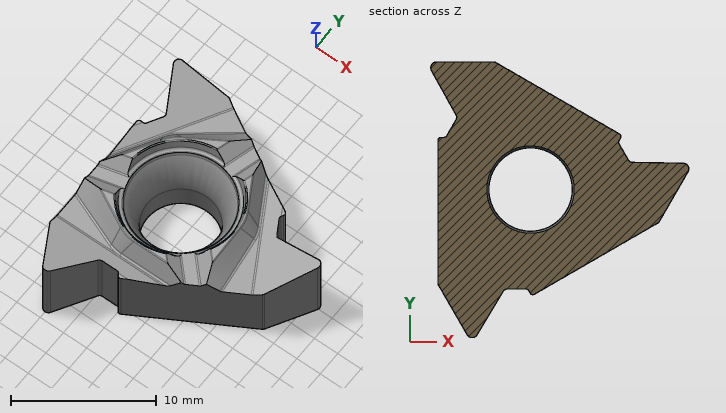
import math

import cadquery as cq

LOBE_ANGLES = (0, 120, 240)
Z_AXIS = ((0, 0, 0), (0, 0, 1))
THICKNESS = 5.84
INSCRIBED_RADIUS = 6.35
RIM_RADIUS = 0.1
MATCH_TOLERANCE = 0.01
OVERSIZE = 15.0

LEFT_FLANK_ANGLE = math.radians(30)
RIGHT_FLANK_ANGLE = math.radians(31)
TIP_X = -4.0
TIP_CENTER_Y = -9.753
TIP_RADIUS = 0.4
FLANK_CORNER_RADIUS = 0.3

RELIEF_Y = -6.82
RELIEF_RADIUS = 0.3
NUB_DISTANCE = 3.58
NUB_NORMAL = math.radians(210)
NUB_INNER_RADIUS = 0.2
NUB_OUTER_RADIUS = 0.22
NUB_CAP_Y = -6.94
NUB_CAP_WIDTH = 2.0

FLOOR_Z = 4.6
RAKE_START_Y = -5.7
RAKE_ANGLE = math.radians(15)
RAKE_BLEND_RADIUS = 0.5
FOOT_Y = -5.52
FOOT_BEND_X = -1.52
FOOT_ANGLE = math.radians(22)
FOOT_BEND_RADIUS = 2.5
FOOT_BLEND_RADIUS = 0.2
CREST_Y = -4.69
CREST_BEND_X = -1.23
CREST_ANGLE = math.radians(28)
CREST_BEND_RADIUS = 3.0
WALL_LEFT_X = -8.0
WALL_RIGHT_X = 5.0
WALL_BACK_Y = 2.0

SLOT_ANGLE = 194
SLOT_FLOOR_Z = 5.08
SLOT_FLOOR_WIDTH = 1.05
SLOT_WALL_ANGLE = math.radians(37)
SLOT_BLEND_RADIUS = 0.2
SLOT_START_RADIUS = 2.0

HOLE_RADIUS = 5.7 / 2
SEAT_START_Z = 2.0
SEAT_CURVE_RADIUS = 4.43
SEAT_OUTER_RADIUS = 3.98
SEAT_BLEND_RADIUS = 0.33
LEDGE_Z = 5.08
LEDGE_OUTER_RADIUS = 4.25
RECESS_TOP_RADIUS = 4.5
LEDGE_BLEND_RADIUS = 0.25


def rotated(point, degrees):
    angle = math.radians(degrees)
    x, y = point
    return (
        x * math.cos(angle) - y * math.sin(angle),
        x * math.sin(angle) + y * math.cos(angle),
    )


def around_axis(shape):
    """Copies of the shape at every lobe angle."""
    copies = cq.Workplane()
    for angle in LOBE_ANGLES:
        copies = copies.add(shape.rotate(*Z_AXIS, angle).vals())
    return copies


def lobe_corners():
    """Sharp corners of one lobe, counterclockwise, each with its rounding radius."""
    left = LEFT_FLANK_ANGLE
    right = RIGHT_FLANK_ANGLE
    apex_drop = TIP_RADIUS * (math.cos(left) + math.cos(right)) / math.sin(left + right)
    apex_x = TIP_X + (TIP_RADIUS - apex_drop * math.sin(right)) / math.cos(right)
    apex_y = TIP_CENTER_Y - apex_drop
    flank_y = apex_y + (apex_x + INSCRIBED_RADIUS) / math.tan(left)
    root_x = apex_x + (RELIEF_Y - apex_y) * math.tan(right)
    normal_x = math.cos(NUB_NORMAL)
    normal_y = math.sin(NUB_NORMAL)
    nub_inner_x = (NUB_DISTANCE - normal_y * RELIEF_Y) / normal_x
    nub_corner = rotated((-INSCRIBED_RADIUS, NUB_DISTANCE), LOBE_ANGLES[1])
    return [
        ((-INSCRIBED_RADIUS, flank_y), FLANK_CORNER_RADIUS),
        ((apex_x, apex_y), TIP_RADIUS),
        ((root_x, RELIEF_Y), RELIEF_RADIUS),
        ((nub_inner_x, RELIEF_Y), NUB_INNER_RADIUS),
        (nub_corner, NUB_OUTER_RADIUS),
    ]


def make_blank():
    corners = []
    for angle in LOBE_ANGLES:
        for point, radius in lobe_corners():
            corners.append((rotated(point, angle), radius))
    outline = [point for point, _ in corners]
    blank = cq.Workplane("XY").polyline(outline).close().extrude(THICKNESS)
    for (x, y), radius in corners:
        nearest = cq.selectors.NearestToPointSelector((x, y, THICKNESS / 2))
        blank = blank.edges("|Z").edges(nearest).fillet(radius)
    return blank


def wall_outline(z, straight_y, bend_x, angle, bend_radius):
    """Closed wire of the back wall at height z: sloping run, bend, straight run."""
    tangent = bend_radius * math.tan(angle / 2)
    left_y = straight_y + (bend_x - WALL_LEFT_X) * math.tan(angle)
    arc_start = (bend_x - tangent * math.cos(angle), straight_y + tangent * math.sin(angle))
    arc_end = (bend_x + tangent, straight_y)
    arc_middle = (
        arc_end[0] - bend_radius * math.sin(angle / 2),
        straight_y + bend_radius * (1 - math.cos(angle / 2)),
    )
    return (
        cq.Workplane("XY", origin=(0, 0, z))
        .moveTo(WALL_LEFT_X, left_y)
        .lineTo(*arc_start)
        .threePointArc(arc_middle, arc_end)
        .lineTo(WALL_RIGHT_X, straight_y)
        .lineTo(WALL_RIGHT_X, WALL_BACK_Y)
        .lineTo(WALL_LEFT_X, WALL_BACK_Y)
        .close()
        .val()
    )


def make_groove_cutter():
    """Space removed above the floor and rake face, in front of the back wall."""
    foot = wall_outline(FLOOR_Z, FOOT_Y, FOOT_BEND_X, FOOT_ANGLE, FOOT_BEND_RADIUS)
    crest = wall_outline(THICKNESS, CREST_Y, CREST_BEND_X, CREST_ANGLE, CREST_BEND_RADIUS)
    wall = cq.Workplane(cq.Solid.makeLoft([foot, crest], True))

    rake_rise = (OVERSIZE + RAKE_START_Y) * math.tan(RAKE_ANGLE)
    rake_top = FLOOR_Z + rake_rise
    groove = (
        cq.Workplane("YZ", origin=(WALL_LEFT_X, 0, 0))
        .moveTo(WALL_BACK_Y, FLOOR_Z)
        .lineTo(RAKE_START_Y, FLOOR_Z)
        .lineTo(-OVERSIZE, rake_top)
        .lineTo(WALL_BACK_Y, rake_top)
        .close()
        .extrude(WALL_RIGHT_X - WALL_LEFT_X)
    )
    groove = groove.cut(wall)
    middle_x = (WALL_LEFT_X + WALL_RIGHT_X) / 2
    rake_start = cq.selectors.NearestToPointSelector((middle_x, RAKE_START_Y, FLOOR_Z))
    groove = groove.edges("|X").edges(rake_start).fillet(RAKE_BLEND_RADIUS)
    foot_edges = groove.faces("<Z").edges("not (<X or <Y)")
    return foot_edges.fillet(FOOT_BLEND_RADIUS)


def make_nub_cap_cutter():
    """Levels the nub at the height the rake face has at the cap line."""
    nub_x, nub_y = lobe_corners()[-1][0]
    cap_z = FLOOR_Z + (RAKE_START_Y - NUB_CAP_Y) * math.tan(RAKE_ANGLE)
    return (
        cq.Workplane("XY", origin=(nub_x, NUB_CAP_Y, cap_z))
        .rect(NUB_CAP_WIDTH, nub_y - NUB_CAP_Y, centered=(True, False))
        .extrude(THICKNESS)
    )


def make_slot_cutter():
    """Trapezoidal tool twice as tall as the slot, so that it clears the top face."""
    half_floor = SLOT_FLOOR_WIDTH / 2
    rise = 2 * (THICKNESS - SLOT_FLOOR_Z)
    half_top = half_floor + rise / math.tan(SLOT_WALL_ANGLE)
    slot = (
        cq.Workplane("YZ", origin=(SLOT_START_RADIUS, 0, SLOT_FLOOR_Z))
        .polyline([(-half_floor, 0), (half_floor, 0), (half_top, rise), (-half_top, rise)])
        .close()
        .extrude(OVERSIZE)
        .faces("<Z")
        .edges("|X")
        .fillet(SLOT_BLEND_RADIUS)
    )
    return slot.rotate(*Z_AXIS, SLOT_ANGLE)


def fillet_circle(body, circle_radius, z, fillet_radius):
    """Rounds the circular edge that has the given radius and height."""
    for edge in body.edges("%CIRCLE").vals():
        same_radius = abs(edge.radius() - circle_radius) < MATCH_TOLERANCE
        same_height = abs(edge.Center().z - z) < MATCH_TOLERANCE
        if same_radius and same_height:
            return body.newObject([edge]).fillet(fillet_radius)
    return body


def make_hole_cutter():
    sweep = math.acos(1 - (SEAT_OUTER_RADIUS - HOLE_RADIUS) / SEAT_CURVE_RADIUS)
    seat_top_z = SEAT_START_Z + SEAT_CURVE_RADIUS * math.sin(sweep)
    seat_middle = (
        HOLE_RADIUS + SEAT_CURVE_RADIUS * (1 - math.cos(sweep / 2)),
        SEAT_START_Z + SEAT_CURVE_RADIUS * math.sin(sweep / 2),
    )
    hole = (
        cq.Workplane("XZ")
        .lineTo(HOLE_RADIUS, 0)
        .lineTo(HOLE_RADIUS, SEAT_START_Z)
        .threePointArc(seat_middle, (SEAT_OUTER_RADIUS, seat_top_z))
        .lineTo(SEAT_OUTER_RADIUS, LEDGE_Z)
        .lineTo(LEDGE_OUTER_RADIUS, LEDGE_Z)
        .lineTo(RECESS_TOP_RADIUS, THICKNESS)
        .lineTo(0, THICKNESS)
        .close()
        .revolve(360, (0, 0), (0, 1))
    )
    hole = fillet_circle(hole, SEAT_OUTER_RADIUS, seat_top_z, SEAT_BLEND_RADIUS)
    hole = fillet_circle(hole, LEDGE_OUTER_RADIUS, LEDGE_Z, LEDGE_BLEND_RADIUS)
    return hole


result = make_blank()
result = result.cut(around_axis(make_groove_cutter()))
result = result.cut(around_axis(make_nub_cap_cutter()))
result = result.cut(around_axis(make_slot_cutter()))
result = result.cut(make_hole_cutter())
result = result.faces(">Z").edges().fillet(RIM_RADIUS)